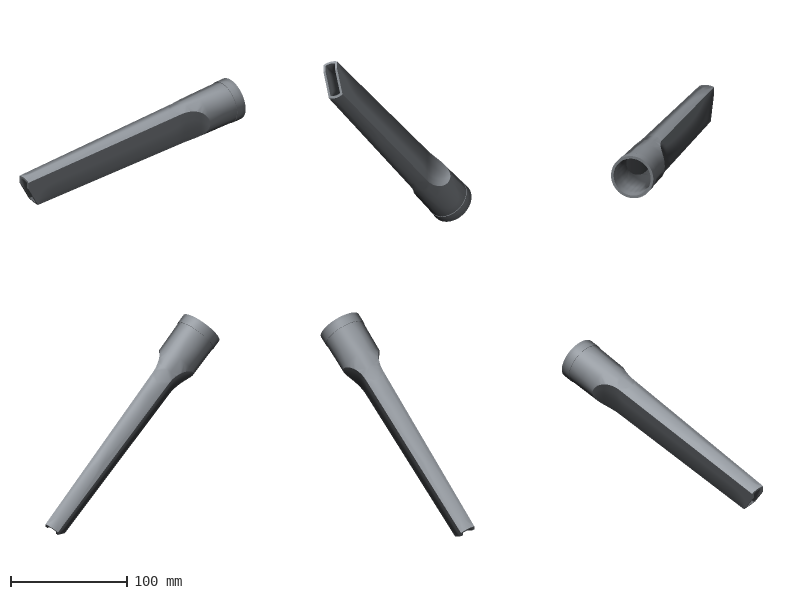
import cadquery as cq
import math

length = 225.5
collar_diameter = 37.9
collar_length = 9.0
wall = 2.0

body_start_radius = 18.5
tip_radius = 15.3

flare_start = 37.5
flare_end = 61.5
flare_start_half_width = 18.3
flank_half_width = 8.5
tip_half_width = 6.5

slant_top_z = 7.0
slant_run = 10.8

clearance = 11.3

flare_depth = flare_start_half_width - flank_half_width
flare_length = flare_end - flare_start
flare_radius = (flare_depth**2 + flare_length**2) / (2 * flare_depth)


def body_radius(distance):
    """Outer radius of the conical body at a distance from the collar end."""
    fraction = (distance - collar_length) / (length - collar_length)
    return body_start_radius + fraction * (tip_radius - body_start_radius)


def cone(start_distance, end_distance, inset):
    """Conical body between two distances from the collar end, made thinner by the inset."""
    start_radius = body_radius(start_distance) - inset
    end_radius = body_radius(end_distance) - inset
    profile = [
        (-start_distance, 0),
        (-start_distance, start_radius),
        (-end_distance, end_radius),
        (-end_distance, 0),
    ]
    return cq.Workplane("YZ").polyline(profile).close().revolve(360, (0, 0, 0), (1, 0, 0))


def flank_cutter(inset):
    """Block that trims the +X side: a concave flare, then a slightly tapered flat."""
    radius = flare_radius + inset
    inner_half_width = flank_half_width - inset
    full_angle = math.asin(flare_length / flare_radius)

    def flare_point(angle):
        return (
            inner_half_width + radius * (1 - math.cos(angle)),
            -flare_end + radius * math.sin(angle),
        )

    flare_top = flare_point(full_angle)
    outside = collar_diameter / 2 + clearance
    return (
        cq.Workplane("XY")
        .moveTo(tip_half_width - inset, -length)
        .lineTo(inner_half_width, -flare_end)
        .threePointArc(flare_point(full_angle / 2), flare_top)
        .lineTo(outside, flare_top[1])
        .lineTo(outside, -length)
        .close()
        .extrude(collar_diameter / 2, both=True)
    )


def flattened_body(start_distance, inset):
    """Conical body with both flanks trimmed, all surfaces moved inwards by the inset."""
    body = cone(start_distance, length, inset)
    flank = flank_cutter(inset)
    return body.cut(flank).cut(flank.mirror("YZ"))


def slant_cutter():
    """Wedge below the sloping line of the tip."""
    slant_bottom_z = -body_radius(length - slant_run)
    slope = slant_run / (slant_top_z - slant_bottom_z)
    bottom_z = slant_bottom_z - clearance
    wedge_run = slope * (slant_top_z - bottom_z)
    return (
        cq.Workplane("YZ")
        .polyline([(-length, slant_top_z), (-length + wedge_run, bottom_z), (-length, bottom_z)])
        .close()
        .extrude(collar_diameter / 2, both=True)
    )


collar = cq.Workplane("XZ").circle(collar_diameter / 2).extrude(collar_length)
outside_shape = collar.union(flattened_body(collar_length, 0))
air_passage = flattened_body(0, wall)

result = outside_shape.cut(air_passage).cut(slant_cutter())